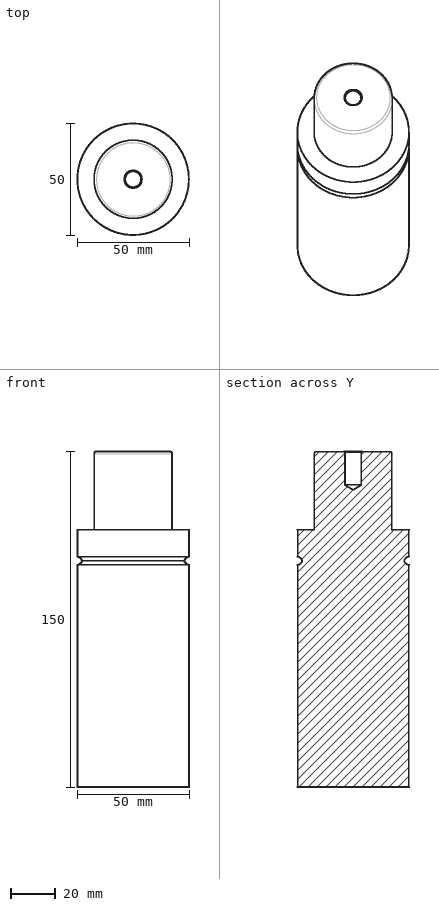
import cadquery as cq
import math

total_height = 150
body_diameter = 50.0
rod_diameter = 35.0
rod_height = 35.0
rod_edge_radius = 1.0
groove_width = 3.6
groove_depth = 2.1
groove_arc_bulge = 0.38
groove_center_below_top = 48.9
hole_diameter = 8.0
hole_depth = 15
hole_chamfer = 0.5
drill_point_angle = 118

body_radius = body_diameter / 2
body_height = total_height - rod_height
hole_radius = hole_diameter / 2 - hole_chamfer


def make_body_and_rod():
    """Cylindrical body with a round-edged rod standing on its top face."""
    body = cq.Workplane("XY").circle(body_radius).extrude(body_height)
    rod = cq.Workplane("XY").workplane(offset=body_height).circle(rod_diameter / 2).extrude(rod_height)
    rod = rod.faces(">Z").edges().fillet(rod_edge_radius)
    return body.union(rod)


def make_groove():
    """Ring groove: two hollow arcs that meet in a crease at the floor."""
    middle_z = total_height - groove_center_below_top
    top_z = middle_z + groove_width / 2
    bottom_z = middle_z - groove_width / 2
    floor_radius = body_radius - groove_depth
    section = (
        cq.Workplane("XZ")
        .moveTo(body_radius, top_z)
        .sagittaArc((floor_radius, middle_z), -groove_arc_bulge)
        .sagittaArc((body_radius, bottom_z), -groove_arc_bulge)
        .close()
    )
    return section.revolve(360, (0, 0), (0, 1))


def make_rod_hole():
    """Blind hole with a chamfered mouth and a drill-point bottom."""
    point_depth = hole_radius / math.tan(math.radians(drill_point_angle / 2))
    profile = [
        (0, total_height),
        (hole_radius + hole_chamfer, total_height),
        (hole_radius, total_height - hole_chamfer),
        (hole_radius, total_height - hole_depth),
        (0, total_height - hole_depth - point_depth),
    ]
    return cq.Workplane("XZ").polyline(profile).close().revolve(360, (0, 0), (0, 1))


result = make_body_and_rod().cut(make_groove()).cut(make_rod_hole())